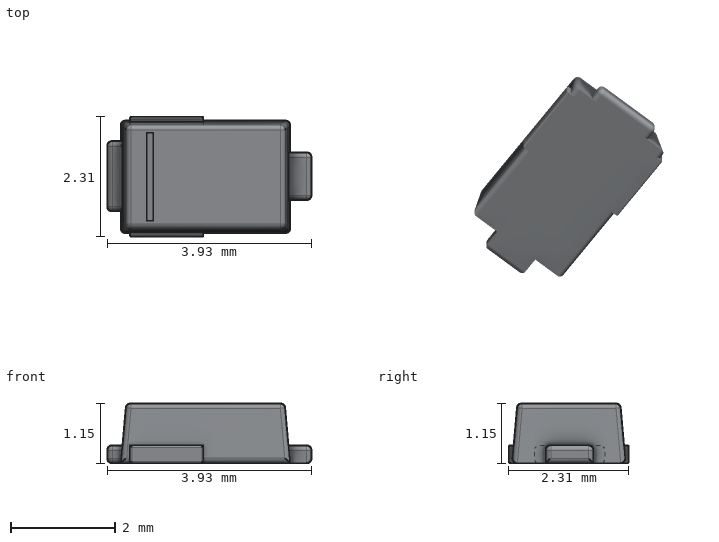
import cadquery as cq

overall_length = 3.93
overall_width = 2.31
overall_height = 1.15

body_length = 3.255
body_width = 2.185
body_center_x = -0.075
draft_angle = 5.0
edge_radius = 0.1

terminal_height = 0.345
left_terminal_width = 1.355
right_terminal_width = 0.92
terminal_center_y = 0.01

tab_start_x = -1.525
tab_length = 1.41
tab_edge_radius = 0.035

band_center_x = -1.145
band_length = 0.125
band_width = 1.69
band_depth = 0.008


def make_body():
    """Drafted block, rounded except along the bottom edges of its two ends."""
    block = (
        cq.Workplane("XY")
        .center(body_center_x, 0)
        .rect(body_length, body_width)
        .extrude(overall_height, taper=draft_angle)
    )
    return block.edges("not (|Y and <Z)").fillet(edge_radius)


def make_terminal(end_x, width):
    """Block from the middle of the body out to end_x, with square lengthwise edges."""
    length = abs(end_x - body_center_x)
    middle_x = (end_x + body_center_x) / 2
    return cq.Workplane("XY").box(length, width, terminal_height).translate(
        (middle_x, terminal_center_y, terminal_height / 2)
    )


def make_left_terminal():
    """Terminal with its end face and all lengthwise edges rounded."""
    terminal = make_terminal(-overall_length / 2, left_terminal_width)
    return terminal.edges("|X or <X").fillet(edge_radius)


def make_right_terminal():
    """Terminal with its end face and only the upper lengthwise edges rounded."""
    terminal = make_terminal(overall_length / 2, right_terminal_width)
    return terminal.edges(">X or (|X and >Z)").fillet(edge_radius)


def make_side_tabs():
    """Bar running through the body, leaving one round-edged tab on each side."""
    bar = cq.Workplane("XY").box(tab_length, overall_width, terminal_height)
    bar = bar.faces("<Y or >Y").edges().fillet(tab_edge_radius)
    return bar.translate((tab_start_x + tab_length / 2, 0, terminal_height / 2))


def make_band():
    """Cutter for the polarity band."""
    return cq.Workplane("XY").box(band_length, band_width, 2 * band_depth).translate(
        (band_center_x, 0, overall_height)
    )


result = (
    make_body()
    .union(make_left_terminal())
    .union(make_right_terminal())
    .union(make_side_tabs())
    .cut(make_band())
)